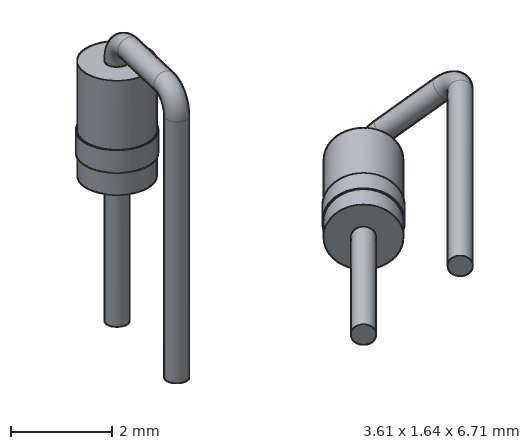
import cadquery as cq
import math

total_height = 6.71
wire_diameter = 0.5
wire_radius = wire_diameter / 2
bend_radius = wire_diameter
lead_pitch = 2.535

body_diameter = 1.585
body_bottom = 3.31
body_height = 2.605
band_diameter = 1.64
band_height = 0.52
band_offset = 0.52

wire_top = total_height - wire_radius
bend_start = wire_top - bend_radius
bend_diagonal = bend_radius * math.sqrt(0.5)


def make_cylinder(diameter, bottom, height):
    """Cylinder standing on the body axis."""
    return cq.Workplane("XY").workplane(offset=bottom).circle(diameter / 2).extrude(height)


def make_wire():
    """Sweep the round wire up the body axis, across and down to the return lead."""
    right_bend_x = lead_pitch - bend_radius
    path = (
        cq.Workplane("XZ")
        .lineTo(0, bend_start)
        .threePointArc(
            (bend_radius - bend_diagonal, bend_start + bend_diagonal),
            (bend_radius, wire_top),
        )
        .lineTo(right_bend_x, wire_top)
        .threePointArc(
            (right_bend_x + bend_diagonal, bend_start + bend_diagonal),
            (lead_pitch, bend_start),
        )
        .lineTo(lead_pitch, 0)
    )
    return cq.Workplane("XY").circle(wire_radius).sweep(path)


body = make_cylinder(body_diameter, body_bottom, body_height)
band = make_cylinder(band_diameter, body_bottom + band_offset, band_height)

result = body.union(band).union(make_wire())